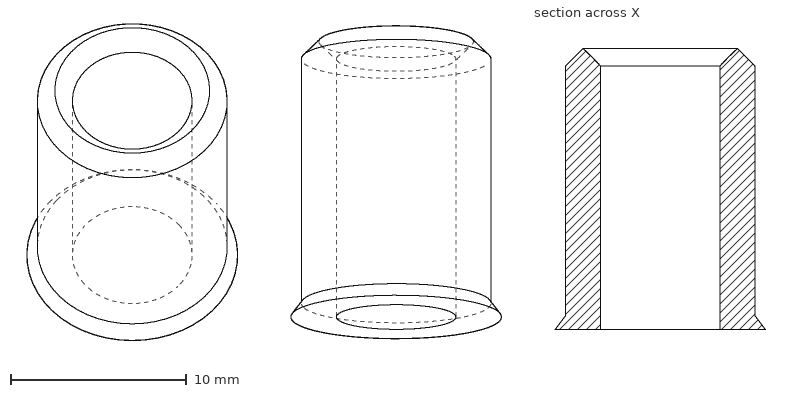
import cadquery as cq

length = 16.0
flare_diameter = 12.0
flare_height = 0.8
body_diameter = 10.8
bore_diameter = 6.8
rim_diameter = 8.8

flare_radius = flare_diameter / 2
body_radius = body_diameter / 2
bore_radius = bore_diameter / 2
rim_radius = rim_diameter / 2

chamfer_depth = body_radius - rim_radius
countersink_depth = rim_radius - bore_radius

half_section = (
    cq.Workplane("XZ")
    .moveTo(bore_radius, 0)
    .lineTo(flare_radius, 0)
    .lineTo(body_radius, flare_height)
    .lineTo(body_radius, length - chamfer_depth)
    .lineTo(rim_radius, length)
    .lineTo(bore_radius, length - countersink_depth)
    .close()
)

result = half_section.revolve(360, (0, 0, 0), (0, 1, 0))